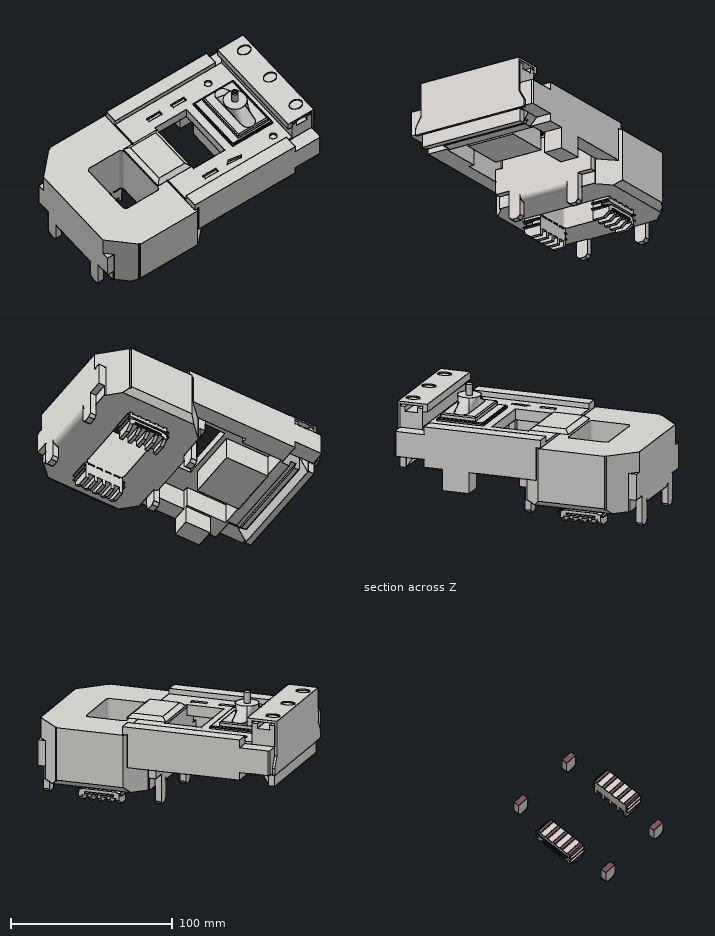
import cadquery as cq


COIL_TOP = 51.2
COIL_BOTTOM = 13.2
FLOOR_TOP = 52.8

COIL_WIDTH = 95.0
COIL_HALF_X = COIL_WIDTH / 2
COIL_LENGTH = 78.0
CORE_PLATE = 5.0
CORE_LEG = 4.1
COIL_SIDE_FRONT = 16.7
COIL_SIDE_BACK = 60.8
SIDE_STEP = 0.87
FRONT_CORNER_START = 15.7
COIL_SIDE_BEVEL = 4.0
COIL_WINDOW_HALF_X = 19.7
COIL_WINDOW_FRONT = 25.4
COIL_WINDOW_BACK = 52.4
COIL_WINDOW_RADIUS = 2.4

PLATE_TOP_HALF_X = COIL_HALF_X - SIDE_STEP - FRONT_CORNER_START
PLATE_WIDE_HALF_X = 35.9
PLATE_SHOULDER = 38.0
PLATE_UNDERSIDE = 21.3
LEG_INNER_X = 17.6
LEG_OUTER_X = 26.0
LEG_BOTTOM = 1.6
LEG_TIP_BEVEL = 1.9
PLATE_EDGE_RADIUS = 4.0

COMB_OUTER_X = 31.7
COMB_TIP_X = 27.5
COMB_TIP_RISE = 3.0
COMB_TEETH = 5
TOOTH_WIDTH = 2.2
TOOTH_TOP = 4.1
COMB_POST_BOTTOM = 12.4
COMB_GROOVE_BOTTOM = 8.2
COMB_GROOVE_TOP = 9.5
COMB_FIN_LEVELS = (6.2, 10.0)
COMB_FIN_THICKNESS = 0.6
COMB_FIN_REACH = 1.7
COMB_SLOT_HALF_LENGTH = 9.5
COMB_SLOT_BOTTOM = 5.0
COMB_SLOT_TOP = 6.2
COMB_SLOT_DEPTH = 0.6
COMB_SHOULDER_HALF_LENGTH = 10.6
COMB_SHOULDER_DROP = 1.0

HOUSING_WIDTH = 92.2
HOUSING_HALF_X = HOUSING_WIDTH / 2
HOUSING_FRONT = 62.8
HOUSING_LIP_FRONT = 59.8
HOUSING_BACK = 157.0
HOUSING_BOTTOM = 30.0
HOUSING_BACK_EDGE = 1.0
RAIL_INNER_X = 36.8
RAIL_TOP = 56.3
SHELF_FRONT = 137.4
SHELF_BOTTOM = 35.0
CAVITY_TOP = 45.8
CAVITY_HALF_X = 32.2
CAVITY_BACK = 135.8
WINDOW_HALF_X = 20.0
WINDOW_BACK = 102.3
CORE_GUIDE_HALF_X = 17.0
CORE_GUIDE_FRONT = 105.5
CORE_GUIDE_BOTTOM = 28.9
SIDE_FOOT_INNER_X = 33.3
SIDE_FOOT_FRONT = 107.4
SIDE_FOOT_BACK = 125.2
SIDE_FOOT_BOTTOM = 16.2

BRIDGE_HALF_X = 18.1
BRIDGE_FRONT = 52.2
BRIDGE_TOP = 55.4
BRIDGE_BEVEL = 3.0

COVER_BACK = 158.6
COVER_WALL = 1.6
COVER_TOP = 68.0
COVER_BOTTOM = 34.0
HOOK_FRONT = 138.8
HOOK_BOTTOM = 63.0
TERMINAL_HALF_X = 36.6
TERMINAL_FRONT = 142.0
TERMINAL_TOP = 65.0
CHANNEL_FRONT = 145.5
CHANNEL_BACK = 153.5
CHANNEL_BOTTOM = 61.9
COVER_EAR_HALF_X = 41.0
COVER_EAR_SHOULDER = 38.4
COVER_EAR_TOP = 45.5
COVER_HOLE_PITCH = 26.8
COVER_HOLE_Y = 152.1
COVER_HOLE_RADIUS_X = 3.5
COVER_HOLE_RADIUS_Y = 4.5
COVER_HOLE_DEPTH = 0.8

CATCH_FRONT = 153.0
CATCH_BOTTOM = 25.4
CATCH_HALF_X = RAIL_INNER_X
GUSSET_HALF_X = 36.0
GUSSET_FRONT = 147.0
UNDER_BLOCK_HALF_X = 35.7
UNDER_BLOCK_BACK = 149.8
UNDER_NOTCH_FRONT = 142.8
UNDER_NOTCH_BACK = 146.3
UNDER_NOTCH_TOP = 32.0

ACTUATOR_Y = 125.2
FRAME_HALF_X = 20.6
FRAME_FRONT = 107.9
FRAME_BACK = 139.0
FRAME_TOP = 54.5
FRAME_STEP_Z = 53.8
FRAME_STEP_WIDTH = 0.8
SLIDE_HALF_X = 18.5
SLIDE_FRONT = 113.8
SLIDE_BACK = 137.0
SLIDE_TOP = 57.5
SLIDE_BEVEL = 0.8
KNOB_LENGTH = 35.9
KNOB_WIDTH = 9.5
KNOB_TOP = 65.5
KNOB_TOP_RADIUS = 7.5
PIN_X = -0.3
PIN_RADIUS = 2.0
PIN_TOP = 73.6
PIN_BEVEL_HEIGHT = 1.0
PIN_BEVEL_WIDTH = 0.5
PIN_BORE_RADIUS = 1.0
PIN_BORE_DEPTH = 0.8

RECESS_DEPTH = 1.6
ROUND_RECESS_RADIUS = 2.4
ROUND_RECESSES = ((-28.5, 125.5), (28.9, 133.1))
SLOT_WIDTH = 2.7
SLOT_LENGTH = 10.2
SLOT_CENTRES = ((-27.5, 101.9), (-27.5, 83.1), (29.5, 84.2))
SKEWED_SLOT = ((29.0, 108.5), (30.8, 106.8), (30.0, 96.6), (27.6, 99.3))


def block(x_span, y_span, z_span):
    """Rectangular block between the given limits."""
    lows, highs = zip(x_span, y_span, z_span)
    sizes = [high - low for low, high in zip(lows, highs)]
    return cq.Workplane("XY").box(*sizes, centered=False).translate(lows)


def centred_block(half_x, y_span, z_span):
    """Rectangular block symmetric about X = 0."""
    return block((-half_x, half_x), y_span, z_span)


def prism_x(points, half_x):
    """A (Y, Z) outline extruded symmetrically along X."""
    return cq.Workplane("YZ").polyline(points).close().extrude(half_x, both=True)


def prism_y(points, y_span):
    """An (X, Z) outline extruded from the first Y limit to the second."""
    start, end = y_span
    return cq.Workplane("XZ", origin=(0, start, 0)).polyline(points).close().extrude(start - end)


def mirrored(points):
    """Closes a half outline with its mirror image in X = 0."""
    return list(points) + [(-x, other) for x, other in reversed(points)]



def coil_winding():
    """Octagonal block with bevelled lower sides and a rounded through window."""
    back = COIL_LENGTH - CORE_PLATE
    step_x = COIL_HALF_X - SIDE_STEP
    outline = mirrored([
        (PLATE_TOP_HALF_X, 0),
        (step_x, FRONT_CORNER_START),
        (step_x, COIL_SIDE_FRONT),
        (COIL_HALF_X, COIL_SIDE_FRONT),
        (COIL_HALF_X, COIL_SIDE_BACK),
        (COIL_HALF_X - (back - COIL_SIDE_BACK), back),
    ])
    plan = (
        cq.Workplane("XY", origin=(0, 0, COIL_BOTTOM))
        .polyline(outline).close().extrude(COIL_TOP - COIL_BOTTOM)
    )
    cross_section = prism_y(mirrored([
        (COIL_HALF_X - COIL_SIDE_BEVEL, COIL_BOTTOM),
        (COIL_HALF_X, COIL_BOTTOM + COIL_SIDE_BEVEL),
        (COIL_HALF_X, COIL_TOP),
    ]), (0, back))
    front_relief = centred_block(COIL_HALF_X, (0, CORE_PLATE), (COIL_BOTTOM, PLATE_SHOULDER))
    window = centred_block(
        COIL_WINDOW_HALF_X, (COIL_WINDOW_FRONT, COIL_WINDOW_BACK), (COIL_BOTTOM, COIL_TOP)
    ).edges("|Z").fillet(COIL_WINDOW_RADIUS)
    return plan.intersect(cross_section).cut(front_relief).cut(window)


def core_plate():
    """Front core plate with a rounded lower edge between two bevelled legs."""
    plate = centred_block(PLATE_TOP_HALF_X, (0, CORE_PLATE), (PLATE_SHOULDER, COIL_TOP))
    plate = plate.union(
        centred_block(PLATE_WIDE_HALF_X, (0, CORE_PLATE), (PLATE_UNDERSIDE, PLATE_SHOULDER))
    )
    plate = plate.union(
        centred_block(PLATE_WIDE_HALF_X, (CORE_LEG, CORE_PLATE), (COIL_BOTTOM, PLATE_UNDERSIDE))
    )
    middle = centred_block(LEG_INNER_X, (0, CORE_PLATE), (COIL_BOTTOM, PLATE_UNDERSIDE))
    plate = plate.union(middle.edges("|X and <Y and <Z").fillet(PLATE_EDGE_RADIUS))
    for inner_x, outer_x in ((LEG_INNER_X, LEG_OUTER_X), (-LEG_OUTER_X, -LEG_INNER_X)):
        leg = block((inner_x, outer_x), (0, CORE_LEG), (LEG_BOTTOM, PLATE_UNDERSIDE))
        plate = plate.union(leg.edges("|Y and <Z").chamfer(LEG_TIP_BEVEL))
    return plate


def terminal_comb():
    """Terminal comb on the +X side of the coil window."""
    y_span = (COIL_WINDOW_FRONT, COIL_WINDOW_BACK)
    length = COIL_WINDOW_BACK - COIL_WINDOW_FRONT
    x_span = (COIL_WINDOW_HALF_X, COMB_OUTER_X)
    comb = prism_y([
        (COIL_WINDOW_HALF_X, 0),
        (COMB_TIP_X, 0),
        (COMB_OUTER_X, COMB_TIP_RISE),
        (COMB_OUTER_X, COIL_BOTTOM),
        (COIL_WINDOW_HALF_X, COIL_BOTTOM),
    ], y_span)
    pitch = (length - TOOTH_WIDTH) / (COMB_TEETH - 1)
    for index in range(COMB_TEETH - 1):
        gap_start = COIL_WINDOW_FRONT + TOOTH_WIDTH + index * pitch
        gap_span = (gap_start, gap_start + pitch - TOOTH_WIDTH)
        comb = comb.cut(block(x_span, gap_span, (0, TOOTH_TOP)))
        comb = comb.cut(block(x_span, gap_span, (COMB_POST_BOTTOM, COIL_BOTTOM)))
    fin_span = (COIL_WINDOW_FRONT - COMB_FIN_REACH, COIL_WINDOW_BACK + COMB_FIN_REACH)
    for level in COMB_FIN_LEVELS:
        comb = comb.union(block(x_span, fin_span, (level, level + COMB_FIN_THICKNESS)))
    groove_x = (LEG_OUTER_X, COMB_OUTER_X)
    comb = comb.cut(block(groove_x, y_span, (COMB_GROOVE_BOTTOM, COMB_GROOVE_TOP)))
    middle = (COIL_WINDOW_FRONT + COIL_WINDOW_BACK) / 2
    slot = block(
        (COMB_OUTER_X - COMB_SLOT_DEPTH, COMB_OUTER_X),
        (middle - COMB_SLOT_HALF_LENGTH, middle + COMB_SLOT_HALF_LENGTH),
        (COMB_SLOT_BOTTOM, COMB_SLOT_TOP),
    )
    return comb.cut(slot).cut(comb_shoulder_waste(1)).cut(comb_shoulder_waste(-1))


def comb_shoulder_waste(side):
    """Wedge above the sloping outer shoulder at one end (side = 1 or -1 along Y)."""
    middle = (COIL_WINDOW_FRONT + COIL_WINDOW_BACK) / 2
    end = middle + side * (COIL_WINDOW_BACK - middle)
    return cq.Workplane("YZ", origin=(LEG_OUTER_X, 0, 0)).polyline([
        (middle + side * COMB_SHOULDER_HALF_LENGTH, COMB_GROOVE_BOTTOM),
        (end, COMB_GROOVE_BOTTOM),
        (end, COMB_GROOVE_BOTTOM - COMB_SHOULDER_DROP),
    ]).close().extrude(COMB_OUTER_X - LEG_OUTER_X)


def make_coil():
    """The whole coil body: winding, two core plates and two terminal combs."""
    front_plate = core_plate()
    back_plate = front_plate.mirror("XZ").translate((0, COIL_LENGTH, 0))
    comb = terminal_comb()
    coil = coil_winding().union(front_plate).union(back_plate)
    return coil.union(comb).union(comb.mirror("YZ"))



def housing_shell():
    """Floor, side rails and stepped back, open underneath."""
    lower = centred_block(HOUSING_HALF_X, (HOUSING_FRONT, HOUSING_BACK), (HOUSING_BOTTOM, COIL_TOP))
    lower = lower.edges("|Z and >Y").chamfer(HOUSING_BACK_EDGE)
    shelf_relief = centred_block(
        HOUSING_HALF_X, (SHELF_FRONT, HOUSING_BACK), (HOUSING_BOTTOM, SHELF_BOTTOM)
    )
    rails = centred_block(HOUSING_HALF_X, (HOUSING_LIP_FRONT, SHELF_FRONT), (COIL_TOP, RAIL_TOP))
    trough = centred_block(RAIL_INNER_X, (HOUSING_LIP_FRONT, SHELF_FRONT), (FLOOR_TOP, RAIL_TOP))
    cavity = centred_block(CAVITY_HALF_X, (HOUSING_FRONT, CAVITY_BACK), (HOUSING_BOTTOM, CAVITY_TOP))
    coil_bay = centred_block(
        PLATE_WIDE_HALF_X, (HOUSING_FRONT, SIDE_FOOT_FRONT), (HOUSING_BOTTOM, CAVITY_TOP)
    )
    window = centred_block(WINDOW_HALF_X, (COIL_LENGTH, WINDOW_BACK), (CAVITY_TOP, FLOOR_TOP))
    return lower.cut(shelf_relief).union(rails).cut(trough).cut(cavity).cut(coil_bay).cut(window)


def lower_supports():
    """Core guide in the cavity and the single foot under the -X wall."""
    guide = centred_block(
        CORE_GUIDE_HALF_X, (CORE_GUIDE_FRONT, CAVITY_BACK), (CORE_GUIDE_BOTTOM, FLOOR_TOP)
    )
    foot = block(
        (-HOUSING_HALF_X, -SIDE_FOOT_INNER_X),
        (SIDE_FOOT_FRONT, SIDE_FOOT_BACK),
        (SIDE_FOOT_BOTTOM, COIL_TOP),
    )
    return guide.union(foot)


def bridge():
    """Bevelled bridge reaching forward over the coil."""
    length = COIL_LENGTH - BRIDGE_FRONT
    return (
        cq.Workplane("XY", origin=(0, BRIDGE_FRONT + length / 2, FLOOR_TOP))
        .rect(2 * BRIDGE_HALF_X, length)
        .workplane(offset=BRIDGE_TOP - FLOOR_TOP)
        .rect(2 * (BRIDGE_HALF_X - BRIDGE_BEVEL), length - 2 * BRIDGE_BEVEL).loft()
    )


def terminal_rail():
    """Channelled terminal rail below a hooked cover with three oval recesses."""
    rail = centred_block(TERMINAL_HALF_X, (TERMINAL_FRONT, HOUSING_BACK), (COIL_TOP, TERMINAL_TOP))
    rail = rail.cut(
        centred_block(RAIL_INNER_X, (CHANNEL_FRONT, CHANNEL_BACK), (CHANNEL_BOTTOM, TERMINAL_TOP))
    )
    base = centred_block(RAIL_INNER_X, (SHELF_FRONT, TERMINAL_FRONT), (COIL_TOP, FLOOR_TOP))
    inner_top = COVER_TOP - COVER_WALL
    cover = prism_x([
        (COVER_BACK, COVER_BOTTOM),
        (COVER_BACK, COVER_TOP),
        (HOOK_FRONT, COVER_TOP),
        (HOOK_FRONT, HOOK_BOTTOM),
        (TERMINAL_FRONT, HOOK_BOTTOM),
        (TERMINAL_FRONT, inner_top),
        (HOUSING_BACK, inner_top),
        (HOUSING_BACK, COVER_BOTTOM),
    ], RAIL_INNER_X)
    holes = (
        cq.Workplane("XY", origin=(0, COVER_HOLE_Y, COVER_TOP))
        .pushPoints([(place * COVER_HOLE_PITCH, 0) for place in (-1, 0, 1)])
        .ellipse(COVER_HOLE_RADIUS_X, COVER_HOLE_RADIUS_Y).extrude(-COVER_HOLE_DEPTH)
    )
    ears = prism_y(mirrored([
        (COVER_EAR_HALF_X, COVER_BOTTOM),
        (COVER_EAR_HALF_X, COVER_EAR_SHOULDER),
        (RAIL_INNER_X, COVER_EAR_TOP),
    ]), (HOUSING_BACK, COVER_BACK))
    return rail.union(base).union(cover).cut(holes).union(ears)


def mounting_catch():
    """Downward catch with a narrower gusset in front of it."""
    catch = centred_block(CATCH_HALF_X, (CATCH_FRONT, HOUSING_BACK), (CATCH_BOTTOM, COVER_BOTTOM))
    gusset = prism_x([
        (HOUSING_BACK, CATCH_BOTTOM),
        (HOUSING_BACK, SHELF_BOTTOM),
        (GUSSET_FRONT, SHELF_BOTTOM),
        (CATCH_FRONT, CATCH_BOTTOM),
    ], GUSSET_HALF_X)
    return catch.union(gusset)


def under_block():
    """Notched block with bevelled sides under the back shelf."""
    bevel = SHELF_BOTTOM - HOUSING_BOTTOM
    body = prism_y(mirrored([
        (UNDER_BLOCK_HALF_X - bevel, HOUSING_BOTTOM),
        (UNDER_BLOCK_HALF_X, SHELF_BOTTOM),
    ]), (SHELF_FRONT, UNDER_BLOCK_BACK))
    notch = centred_block(
        UNDER_BLOCK_HALF_X, (UNDER_NOTCH_FRONT, UNDER_NOTCH_BACK), (HOUSING_BOTTOM, UNDER_NOTCH_TOP)
    )
    return body.cut(notch)


def actuator():
    """Stepped frame, slide plate, flared knob and pin."""
    lower_frame = centred_block(FRAME_HALF_X, (FRAME_FRONT, FRAME_BACK), (FLOOR_TOP, FRAME_STEP_Z))
    upper_frame = centred_block(
        FRAME_HALF_X - FRAME_STEP_WIDTH,
        (FRAME_FRONT + FRAME_STEP_WIDTH, FRAME_BACK - FRAME_STEP_WIDTH),
        (FRAME_STEP_Z, FRAME_TOP),
    )
    slide = centred_block(SLIDE_HALF_X, (SLIDE_FRONT, SLIDE_BACK), (FRAME_TOP, SLIDE_TOP))
    slide = slide.faces(">Z").chamfer(SLIDE_BEVEL)
    knob = (
        cq.Workplane("XY", origin=(0, ACTUATOR_Y, SLIDE_TOP))
        .slot2D(KNOB_LENGTH, KNOB_WIDTH)
        .workplane(offset=KNOB_TOP - SLIDE_TOP)
        .circle(KNOB_TOP_RADIUS).loft()
    )
    pin = (
        cq.Workplane("XY", origin=(PIN_X, ACTUATOR_Y, KNOB_TOP))
        .circle(PIN_RADIUS).extrude(PIN_TOP - KNOB_TOP)
        .faces(">Z").chamfer(PIN_BEVEL_HEIGHT, PIN_BEVEL_WIDTH)
    )
    bore = (
        cq.Workplane("XY", origin=(PIN_X, ACTUATOR_Y, PIN_TOP))
        .circle(PIN_BORE_RADIUS).extrude(-PIN_BORE_DEPTH)
    )
    return lower_frame.union(upper_frame).union(slide).union(knob).union(pin.cut(bore))


def floor_recesses():
    """Shallow round and slotted recesses in the housing floor."""
    floor = cq.Workplane("XY", origin=(0, 0, FLOOR_TOP))
    recesses = floor.pushPoints(ROUND_RECESSES).circle(ROUND_RECESS_RADIUS).extrude(-RECESS_DEPTH)
    slots = floor.pushPoints(SLOT_CENTRES).rect(SLOT_WIDTH, SLOT_LENGTH).extrude(-RECESS_DEPTH)
    skewed_slot = floor.polyline(SKEWED_SLOT).close().extrude(-RECESS_DEPTH)
    return recesses.union(slots).union(skewed_slot)


def make_housing(coil):
    """The whole housing body, with a recess that fits the coil."""
    housing = housing_shell().union(lower_supports()).cut(floor_recesses())
    housing = housing.union(terminal_rail()).union(mounting_catch()).union(under_block())
    return housing.union(bridge()).union(actuator()).cut(coil)


coil = make_coil()
housing = make_housing(coil)
result = cq.Compound.makeCompound([coil.val(), housing.val()])